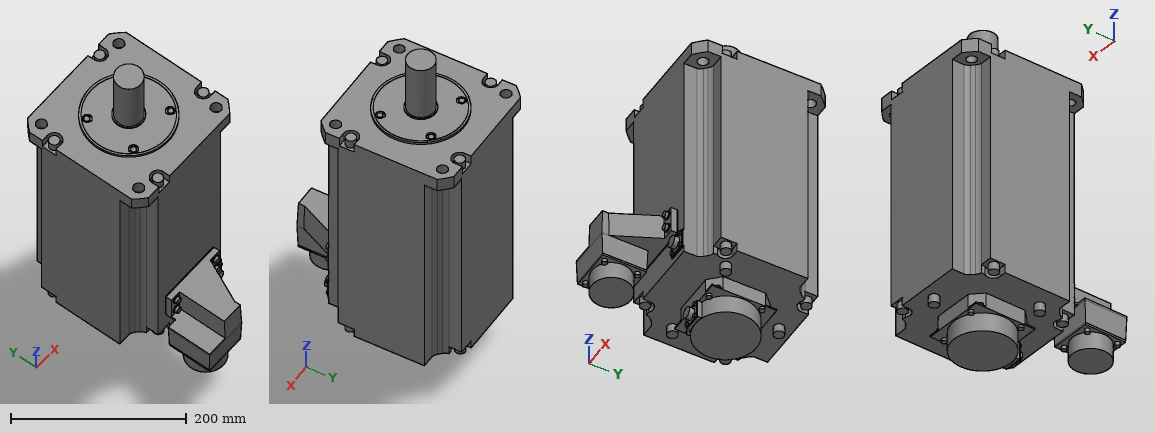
import cadquery as cq
import math


WIDTH = 176.0
HALF = WIDTH / 2
FLANGE_THICK = 18.0
FLANGE_CORNER_R = 115.0
BODY_BOTTOM = -308.0
MOUNT_HOLE_D = 13.5
MOUNT_HOLE_POS = 200.0 / 2 * math.sqrt(0.5)

CHANNEL_WALL = 57.0
CHANNEL_SHOULDER = 71.0
CHANNEL_FLAT_FAR = 64.5
CHANNEL_FLAT_NEAR = 60.5
CHANNEL_ARC_R = 12.8

SHAFT_D = 35.0
SHAFT_TOP = 79.0
SEAL_D = 38.7
SEAL_TOP = 4.0
PILOT_D = 114.3
PILOT_HEIGHT = 3.0
PILOT_RECESS_D = 108.5
PILOT_RECESS_DEPTH = 0.5
PILOT_SCREW_POS = 34.0
PILOT_SCREW_D = 7.0
PILOT_POCKET_POS = 33.6
PILOT_POCKET_D = 11.3
PILOT_POCKET_DEPTH = 2.5
PILOT_SCREW_HEIGHT = 2.2

BOLT_ALONG = 45.7
BOLT_OUT = 78.7
LOWER_BOLT_OUT = 79.5
BOLT_HEAD_D = 13.2
BOLT_HEAD_HEIGHT = 11.0
NOTCH_R = 9.8
NOTCH_DEPTH = 12.0
LOWER_NOTCH_DEPTH = 11.2
LOWER_HEAD_HEIGHT = 10.2

FOOT_D = 13.2
FOOT_HEIGHT = 11.0
FOOT_CIRCLE_R = 70.0

ENCODER_WIDTH = 85.0
ENCODER_CHAMFER = 14.5
ENCODER_PLATE_THICK = 2.0
ENCODER_PLATE_BOTTOM = -328.2
ENCODER_RING_D = 80.6
PART_BOTTOM = SHAFT_TOP - 432.0
ENCODER_SCREW_D = 7.0
UPPER_SCREW_HEIGHT = 4.0
LOWER_SCREW_HEIGHT = 3.4
UPPER_SCREW_X = 37.2
UPPER_SCREW_Y = -32.0
LOWER_SCREW_X = 26.3
LOWER_SCREW_Y = -37.2

SIGNAL_PAD_THICK = 1.2
SIGNAL_PLATE_WIDTH = 23.6
SIGNAL_PLATE_THICK = 1.2
SIGNAL_SCREW_D = 5.5
SIGNAL_SCREW_POS = 8.6
SIGNAL_SCREW_REACH = 4.3
SIGNAL_PLUG_D = 14.9
SIGNAL_PLUG_REACH = 9.0
ENCODER_PAD_WIDTH = 24.6
ENCODER_SIGNAL_Y = -42.8
BRAKE_X = 44.0
BRAKE_PAD_WIDTH = 2 * (CHANNEL_WALL - BRAKE_X)
BRAKE_Z = -286.5

POWER_FRONT_Y = HALF - 251.31
POWER_TOP = -234.0
POWER_FLOOR_TOP = -267.0
POWER_FLOOR_BOTTOM = -269.7
POWER_BASE_HALF = 43.8
POWER_BASE_Y = -97.0
GASKET_THICK = 1.0
GASKET_INSET = 0.3
HORN_LEFT = -29.0
HORN_RIGHT = 1.3
HORN_BASE_RIGHT = 28.4
HORN_NOSE_Y = -154.0
HORN_DRAFT = math.tan(math.radians(2.0))
BLOCK_LEFT = -57.3
BLOCK_BACK_Y = -103.0
BLOCK_BOTTOM = -300.2
BLOCK_TAPER = 1.2
BLOCK_SIDE_TAPER = 0.4
LID_INSET = 0.3
LID_BOTTOM = -302.8
POWER_SCREW_X = 35.7
POWER_SCREW_D = 8.2
POWER_SCREW_HEIGHT = 4.8
POWER_WASHER_D = 10.6
POWER_WASHER_THICK = 1.0
POWER_SCREW_Z = -249.8
POWER_SCREW_DZ = 9.5
SOCKET_X = (BLOCK_LEFT + HORN_RIGHT) / 2
SOCKET_Y = -134.0
SOCKET_D = 51.4
SOCKET_BOTTOM = -325.6
SOCKET_SCREW_POS = 21.7
SOCKET_SCREW_D = 6.4
SOCKET_SCREW_HEIGHT = 4.8


def prism(points, z_low, z_high):
    return cq.Workplane("XY").workplane(offset=z_low).polyline(points).close().extrude(z_high - z_low)


def cylinder(diameter, x, y, z_low, z_high):
    disc = cq.Workplane("XY").workplane(offset=z_low).center(x, y).circle(diameter / 2)
    return disc.extrude(z_high - z_low)


def square(width, z_low, z_high):
    return cq.Workplane("XY").workplane(offset=z_low).rect(width, width).extrude(z_high - z_low)


def four_turns(shape):
    """Union of a shape with its copies at quarter turns about Z."""
    union = shape
    for turn in (90, 180, 270):
        union = union.union(shape.rotate((0, 0, 0), (0, 0, 1), turn))
    return union


def front_cylinder(diameter, x, z, y_back, y_front):
    """Cylinder along -Y from y_back to y_front."""
    disc = cq.Workplane("XZ", origin=(x, y_back, z)).circle(diameter / 2)
    return disc.extrude(y_back - y_front)


def front_square(width, x, z, y_back, y_front):
    face = cq.Workplane("XZ", origin=(x, y_back, z)).rect(width, width)
    return face.extrude(y_back - y_front)


def make_flange():
    flange = square(WIDTH, -FLANGE_THICK, 0)
    flange = flange.intersect(cylinder(2 * FLANGE_CORNER_R, 0, 0, -FLANGE_THICK, 0))
    hole = cylinder(MOUNT_HOLE_D, MOUNT_HOLE_POS, MOUNT_HOLE_POS, -FLANGE_THICK, 0)
    return flange.cut(four_turns(hole))


def make_body():
    channel = (
        cq.Workplane("XY")
        .workplane(offset=BODY_BOTTOM)
        .moveTo(HALF, HALF)
        .lineTo(HALF, CHANNEL_WALL)
        .lineTo(CHANNEL_SHOULDER, CHANNEL_WALL)
        .radiusArc((CHANNEL_FLAT_FAR, CHANNEL_FLAT_NEAR), CHANNEL_ARC_R)
        .lineTo(CHANNEL_FLAT_NEAR, CHANNEL_FLAT_FAR)
        .radiusArc((CHANNEL_WALL, CHANNEL_SHOULDER), CHANNEL_ARC_R)
        .lineTo(CHANNEL_WALL, HALF)
        .close()
        .extrude(-FLANGE_THICK - BODY_BOTTOM)
    )
    return square(WIDTH, BODY_BOTTOM, -FLANGE_THICK).cut(four_turns(channel))


def side_notch(z_low, z_high):
    """U-shaped notch open to the +Y side."""
    end = cylinder(2 * NOTCH_R, BOLT_ALONG, BOLT_OUT, z_low, z_high)
    left = BOLT_ALONG - NOTCH_R
    right = BOLT_ALONG + NOTCH_R
    mouth = [(left, BOLT_OUT), (right, BOLT_OUT), (right, HALF), (left, HALF)]
    return end.union(prism(mouth, z_low, z_high))


def cut_bolt_notches(motor):
    """Bolt notches at both ends; the lower ones break into the edge channels."""
    floor = BODY_BOTTOM + LOWER_NOTCH_DEPTH
    upper = side_notch(-NOTCH_DEPTH, 0)
    opening = [
        (BOLT_ALONG, CHANNEL_SHOULDER),
        (CHANNEL_WALL, CHANNEL_SHOULDER),
        (CHANNEL_WALL, HALF),
        (BOLT_ALONG, HALF),
    ]
    lower = side_notch(BODY_BOTTOM, floor).union(prism(opening, BODY_BOTTOM, floor))
    upper_head = cylinder(BOLT_HEAD_D, BOLT_ALONG, BOLT_OUT, -NOTCH_DEPTH, BOLT_HEAD_HEIGHT - NOTCH_DEPTH)
    lower_head = cylinder(BOLT_HEAD_D, BOLT_ALONG, LOWER_BOLT_OUT, floor - LOWER_HEAD_HEIGHT, floor)
    motor = motor.cut(four_turns(upper)).cut(four_turns(lower))
    return motor.union(four_turns(upper_head)).union(four_turns(lower_head))


def make_shaft_end():
    recess_floor = PILOT_HEIGHT - PILOT_RECESS_DEPTH
    pilot = cylinder(PILOT_D, 0, 0, 0, PILOT_HEIGHT)
    pilot = pilot.cut(cylinder(PILOT_RECESS_D, 0, 0, recess_floor, PILOT_HEIGHT))
    pocket_floor = recess_floor - PILOT_POCKET_DEPTH
    pocket = cylinder(PILOT_POCKET_D, PILOT_POCKET_POS, PILOT_POCKET_POS, pocket_floor, recess_floor)
    screw_top = pocket_floor + PILOT_SCREW_HEIGHT
    screw = cylinder(PILOT_SCREW_D, PILOT_SCREW_POS, PILOT_SCREW_POS, pocket_floor, screw_top)
    pilot = pilot.cut(four_turns(pocket)).union(four_turns(screw))
    seal = cylinder(SEAL_D, 0, 0, 0, SEAL_TOP)
    shaft = cylinder(SHAFT_D, 0, 0, 0, SHAFT_TOP)
    return pilot.union(seal).union(shaft)


def add_feet(motor):
    for angle in (90, 210, 330):
        x = FOOT_CIRCLE_R * math.cos(math.radians(angle))
        y = FOOT_CIRCLE_R * math.sin(math.radians(angle))
        motor = motor.union(cylinder(FOOT_D, x, y, BODY_BOTTOM - FOOT_HEIGHT, BODY_BOTTOM))
    return motor


def signal_connector(x, z, y_base, pad_width):
    """Square connector facing -Y: pad, plate, four screws and a round plug."""
    y_pad = y_base - SIGNAL_PAD_THICK
    y_plate = y_pad - SIGNAL_PLATE_THICK
    connector = front_square(pad_width, x, z, y_base, y_pad)
    connector = connector.union(front_square(SIGNAL_PLATE_WIDTH, x, z, y_pad, y_plate))
    connector = connector.union(front_cylinder(SIGNAL_PLUG_D, x, z, y_plate, y_base - SIGNAL_PLUG_REACH))
    for dx in (-SIGNAL_SCREW_POS, SIGNAL_SCREW_POS):
        for dz in (-SIGNAL_SCREW_POS, SIGNAL_SCREW_POS):
            screw = front_cylinder(SIGNAL_SCREW_D, x + dx, z + dz, y_plate, y_base - SIGNAL_SCREW_REACH)
            connector = connector.union(screw)
    return connector


def make_encoder():
    plate_top = ENCODER_PLATE_BOTTOM + ENCODER_PLATE_THICK
    housing = square(ENCODER_WIDTH, plate_top, BODY_BOTTOM).edges("|Z").chamfer(ENCODER_CHAMFER)
    plate = square(ENCODER_WIDTH, ENCODER_PLATE_BOTTOM, plate_top)
    ring = cylinder(ENCODER_RING_D, 0, 0, PART_BOTTOM, ENCODER_PLATE_BOTTOM)
    upper_screw = cylinder(
        ENCODER_SCREW_D, UPPER_SCREW_X, UPPER_SCREW_Y, plate_top, plate_top + UPPER_SCREW_HEIGHT
    )
    lower_screw = cylinder(
        ENCODER_SCREW_D,
        LOWER_SCREW_X,
        LOWER_SCREW_Y,
        ENCODER_PLATE_BOTTOM - LOWER_SCREW_HEIGHT,
        ENCODER_PLATE_BOTTOM,
    )
    encoder = housing.union(plate).union(ring)
    encoder = encoder.union(four_turns(upper_screw)).union(four_turns(lower_screw))
    z_mid = (PART_BOTTOM + ENCODER_PLATE_BOTTOM) / 2
    neck = front_square(ENCODER_PAD_WIDTH, 0, z_mid, 0, ENCODER_SIGNAL_Y)
    connector = signal_connector(0, z_mid, ENCODER_SIGNAL_Y, ENCODER_PAD_WIDTH)
    return encoder.union(neck).union(connector)


def loft_outlines(low_points, high_points, z_low, z_high):
    """Solid with straight sides between two outlines of equal point count."""
    low = cq.Workplane("XY").workplane(offset=z_low).polyline(low_points).close()
    high = low.workplane(offset=z_high - z_low).polyline(high_points).close()
    return high.loft(ruled=True)


def horn_outline(z):
    """Horn section at height z; its front and right walls lean inward going up."""
    lean = HORN_DRAFT * (z - POWER_FLOOR_BOTTOM)
    right = HORN_RIGHT - lean
    front = POWER_FRONT_Y + lean
    return [
        (HORN_LEFT, POWER_BASE_Y),
        (HORN_BASE_RIGHT - lean, POWER_BASE_Y),
        (right, HORN_NOSE_Y),
        (right, front),
        (HORN_LEFT, front),
    ]


def floor_outline(z):
    """Section of the floor left of the horn, with its front and left walls leaning inward."""
    lean = HORN_DRAFT * (z - POWER_FLOOR_BOTTOM)
    left = BLOCK_LEFT + lean
    front = POWER_FRONT_Y + lean
    return [
        (-POWER_BASE_HALF, POWER_BASE_Y),
        (HORN_LEFT, POWER_BASE_Y),
        (HORN_LEFT, front),
        (left, front),
        (left, BLOCK_BACK_Y),
        (-POWER_BASE_HALF, BLOCK_BACK_Y),
    ]


def make_power_base():
    """Rectangular base plate on a slightly smaller gasket."""
    width = 2 * POWER_BASE_HALF
    height = POWER_TOP - POWER_FLOOR_BOTTOM
    z_mid = (POWER_TOP + POWER_FLOOR_BOTTOM) / 2
    gasket = (
        cq.Workplane("XZ", origin=(0, -HALF, z_mid))
        .rect(width - 2 * GASKET_INSET, height - 2 * GASKET_INSET)
        .extrude(GASKET_THICK)
    )
    plate_back = -HALF - GASKET_THICK
    plate = (
        cq.Workplane("XZ", origin=(0, plate_back, z_mid))
        .rect(width, height)
        .extrude(plate_back - POWER_BASE_Y)
    )
    return gasket.union(plate)


def make_power_connector():
    horn = loft_outlines(
        horn_outline(POWER_FLOOR_BOTTOM), horn_outline(POWER_TOP), POWER_FLOOR_BOTTOM, POWER_TOP
    )
    floor = loft_outlines(
        floor_outline(POWER_FLOOR_BOTTOM),
        floor_outline(POWER_FLOOR_TOP),
        POWER_FLOOR_BOTTOM,
        POWER_FLOOR_TOP,
    )
    connector = make_power_base().union(horn).union(floor).union(make_power_block())
    washer_end = POWER_BASE_Y - POWER_WASHER_THICK
    screw_end = POWER_BASE_Y - POWER_SCREW_HEIGHT
    for x in (-POWER_SCREW_X, POWER_SCREW_X):
        for z in (POWER_SCREW_Z - POWER_SCREW_DZ, POWER_SCREW_Z + POWER_SCREW_DZ):
            connector = connector.union(front_cylinder(POWER_WASHER_D, x, z, POWER_BASE_Y, washer_end))
            connector = connector.union(front_cylinder(POWER_SCREW_D, x, z, washer_end, screw_end))
    return connector


def make_power_block():
    """Slightly tapered block with a lid, a round socket and four lid screws below."""
    width = HORN_RIGHT - BLOCK_LEFT
    depth = BLOCK_BACK_Y - POWER_FRONT_Y
    bottom_width = width - 2 * BLOCK_SIDE_TAPER
    bottom_depth = depth - 2 * BLOCK_TAPER
    y_mid = (BLOCK_BACK_Y + POWER_FRONT_Y) / 2
    block = (
        cq.Workplane("XY", origin=(SOCKET_X, y_mid, POWER_FLOOR_BOTTOM))
        .rect(width, depth)
        .workplane(offset=BLOCK_BOTTOM - POWER_FLOOR_BOTTOM)
        .rect(bottom_width, bottom_depth)
        .loft(ruled=True)
    )
    lid = (
        cq.Workplane("XY", origin=(SOCKET_X, y_mid, LID_BOTTOM))
        .rect(bottom_width - 2 * LID_INSET, bottom_depth)
        .extrude(BLOCK_BOTTOM - LID_BOTTOM)
    )
    block = block.union(lid)
    block = block.union(cylinder(SOCKET_D, SOCKET_X, SOCKET_Y, SOCKET_BOTTOM, LID_BOTTOM))
    screw_bottom = LID_BOTTOM - SOCKET_SCREW_HEIGHT
    for dx in (-SOCKET_SCREW_POS, SOCKET_SCREW_POS):
        for dy in (-SOCKET_SCREW_POS, SOCKET_SCREW_POS):
            screw = cylinder(SOCKET_SCREW_D, SOCKET_X + dx, SOCKET_Y + dy, screw_bottom, LID_BOTTOM)
            block = block.union(screw)
    return block


motor = make_flange().union(make_body())
motor = cut_bolt_notches(motor)
motor = add_feet(motor)
motor = motor.union(make_shaft_end())
motor = motor.union(make_encoder())
motor = motor.union(make_power_connector())
result = motor.union(signal_connector(BRAKE_X, BRAKE_Z, -HALF, BRAKE_PAD_WIDTH))